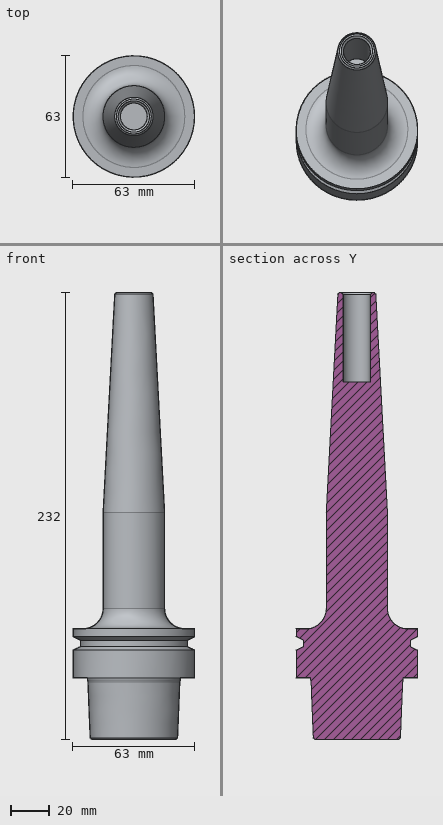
import cadquery as cq

total_length = 232.0

spigot_length = 32.0
spigot_tip_radius = 22.7
spigot_collar_radius = 24.1
spigot_collar_height = 1.2
spigot_collar_bevel_height = 1.0
spigot_taper_radius = 24.0
spigot_tip_chamfer = 1.0

flange_radius = 31.5
flange_height = 25.5
upper_rim_height = 4.2
groove_floor_radius = 27.8
groove_floor_height = 3.2
groove_side_height = 1.9

neck_radius = 16.0
root_fillet = 10.5
cone_start_z = 117.8
nose_radius = 10.0
nose_chamfer = 1.0

bore_radius = 7.0
bore_depth = 46.4
bore_chamfer = 1.2

flange_top_z = spigot_length + flange_height
groove_top_z = flange_top_z - upper_rim_height
floor_top_z = groove_top_z - groove_side_height
floor_bottom_z = floor_top_z - groove_floor_height
groove_bottom_z = floor_bottom_z - groove_side_height
collar_bottom_z = spigot_length - spigot_collar_height
taper_top_z = collar_bottom_z - spigot_collar_bevel_height


def make_body():
    """Revolve the outer half profile, drawn as (radius, height), about Z."""
    profile = (
        cq.Workplane("XZ")
        .lineTo(spigot_tip_radius - spigot_tip_chamfer, 0)
        .lineTo(spigot_tip_radius, spigot_tip_chamfer)
        .lineTo(spigot_taper_radius, taper_top_z)
        .lineTo(spigot_collar_radius, collar_bottom_z)
        .lineTo(spigot_collar_radius, spigot_length)
        .lineTo(flange_radius, spigot_length)
        .lineTo(flange_radius, groove_bottom_z)
        .lineTo(groove_floor_radius, floor_bottom_z)
        .lineTo(groove_floor_radius, floor_top_z)
        .lineTo(flange_radius, groove_top_z)
        .lineTo(flange_radius, flange_top_z)
        .lineTo(neck_radius + root_fillet, flange_top_z)
        .radiusArc((neck_radius, flange_top_z + root_fillet), root_fillet)
        .lineTo(neck_radius, cone_start_z)
        .lineTo(nose_radius, total_length - nose_chamfer)
        .lineTo(nose_radius - nose_chamfer, total_length)
        .lineTo(0, total_length)
        .close()
    )
    return profile.revolve(360, (0, 0, 0), (0, 1, 0))


def make_bore():
    """Blind bore with a chamfered mouth, as a solid to be removed."""
    profile = (
        cq.Workplane("XZ", origin=(0, 0, total_length))
        .lineTo(bore_radius + bore_chamfer, 0)
        .lineTo(bore_radius, -bore_chamfer)
        .lineTo(bore_radius, -bore_depth)
        .lineTo(0, -bore_depth)
        .close()
    )
    return profile.revolve(360, (0, 0, 0), (0, 1, 0))


result = make_body().cut(make_bore())